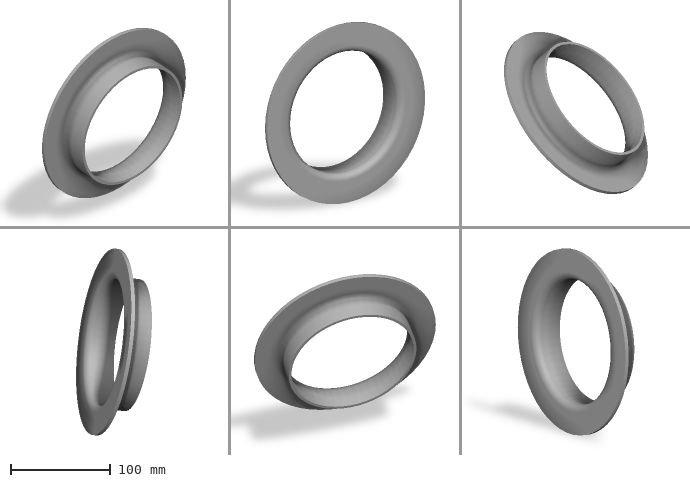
import cadquery as cq

flange_diameter = 188.0
collar_outer_diameter = 133.0
collar_bore_diameter = 127.0
total_length = 30.0
flange_thickness = 4.0
mouth_radius = 7.0
neck_radius = 5.0

flange_rim = flange_diameter / 2
collar_wall = collar_outer_diameter / 2
bore_wall = collar_bore_diameter / 2


def flanged_collar():
    """Ring with a rounded L-shaped section; the section is drawn as (X, radius)."""
    section = (
        cq.Workplane("XY")
        .moveTo(mouth_radius, bore_wall)
        .radiusArc((0, bore_wall + mouth_radius), mouth_radius)
        .lineTo(0, flange_rim)
        .lineTo(flange_thickness, flange_rim)
        .lineTo(flange_thickness, collar_wall + neck_radius)
        .radiusArc((flange_thickness + neck_radius, collar_wall), -neck_radius)
        .lineTo(total_length, collar_wall)
        .lineTo(total_length, bore_wall)
        .close()
    )
    return section.revolve(360, (0, 0, 0), (1, 0, 0))


result = flanged_collar()